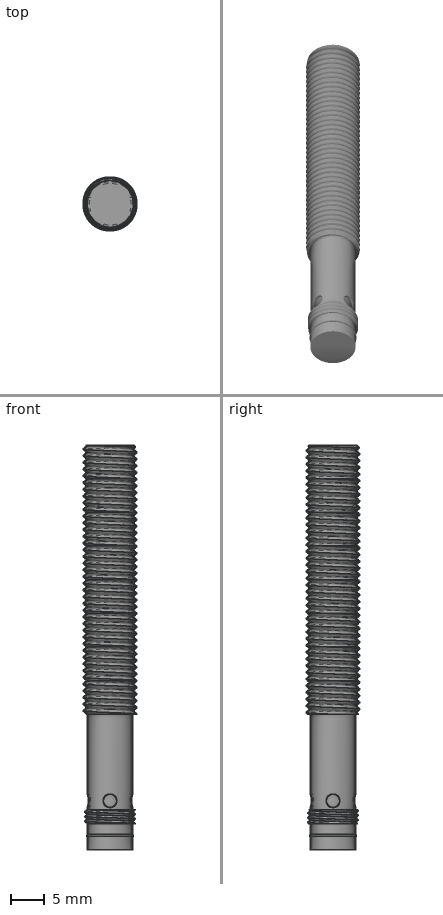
import cadquery as cq
import math

total_length = 60.3
housing_thread_length = 40.1
housing_thread_start = total_length - housing_thread_length

body_diameter = 6.72

housing_major_diameter = 8.0
housing_root_diameter = 6.9
housing_pitch = 1.0
housing_start_angle = 0.0
housing_segment_count = 8
end_face_diameter = 7.0

connector_major_diameter = 7.5
connector_root_diameter = 6.8
connector_pitch = 0.7
connector_thread_start = 3.9
connector_thread_length = 2.1
connector_start_angle = 0.0

flank_curve_points = 12

envelope_clearance = 0.5

snap_ring_diameter = 7.0
snap_ring_bottom = 2.0
snap_ring_top = 2.35

window_diameter = 2.0
window_floor_diameter = 6.2
window_height = 7.3
window_count = 4


def cylinder(diameter, bottom, length):
    return cq.Workplane("XY").workplane(offset=bottom).circle(diameter / 2).extrude(length)


def polar_point(radius, angle):
    return (radius * math.cos(angle), radius * math.sin(angle))


def threaded_rod(major_diameter, root_diameter, pitch, length):
    """Rod with a single-start, left-handed V thread.

    Any level cut through such a rod is the same outline, turned with height: two mirrored spirals
    that meet at one crest point and one root point. Twisting that outline upward gives the thread.
    """
    crest_radius = major_diameter / 2
    root_radius = root_diameter / 2

    def falling_flank(t):
        return polar_point(crest_radius + (root_radius - crest_radius) * t, math.pi * t)

    def rising_flank(t):
        return polar_point(root_radius + (crest_radius - root_radius) * t, math.pi * (1 + t))

    outline = (
        cq.Workplane("XY")
        .moveTo(crest_radius, 0)
        .parametricCurve(falling_flank, N=flank_curve_points, makeWire=False)
        .parametricCurve(rising_flank, N=flank_curve_points, makeWire=False)
        .wire()
    )
    return outline.twistExtrude(length, -360 * length / pitch)


def housing_thread():
    """Equal segments stacked end to end, each turned on to carry the helix, the top one chamfered."""
    segment_length = housing_thread_length / housing_segment_count
    segment_turn = -360 * segment_length / housing_pitch
    segment = threaded_rod(housing_major_diameter, housing_root_diameter, housing_pitch, segment_length)
    chamfer = envelope_clearance + (housing_major_diameter - end_face_diameter) / 2
    envelope = cylinder(housing_major_diameter + 2 * envelope_clearance, 0, segment_length)
    segments = [segment] * (housing_segment_count - 1)
    segments.append(segment.intersect(envelope.faces(">Z").chamfer(chamfer)))
    thread = cq.Workplane("XY")
    for index, piece in enumerate(segments):
        angle = housing_start_angle + index * segment_turn
        piece = piece.rotate((0, 0, 0), (0, 0, 1), angle)
        thread = thread.add(piece.translate((0, 0, housing_thread_start + index * segment_length)))
    return thread


def connector_thread():
    rod = threaded_rod(connector_major_diameter, connector_root_diameter, connector_pitch,
                       connector_thread_length)
    rod = rod.rotate((0, 0, 0), (0, 0, 1), connector_start_angle)
    return rod.translate((0, 0, connector_thread_start))


def snap_ring():
    body_radius = body_diameter / 2
    section = cq.Workplane("XZ").polyline([
        (0, snap_ring_bottom),
        (snap_ring_diameter / 2, snap_ring_bottom),
        (body_radius, snap_ring_top),
        (0, snap_ring_top),
    ]).close()
    return section.revolve(360, (0, 0, 0), (0, 1, 0))


def window_pockets():
    pockets = cq.Workplane("XY")
    for index in range(window_count):
        pocket = cq.Workplane("XZ").center(0, window_height).circle(window_diameter / 2)
        pocket = pocket.extrude(body_diameter)
        pockets = pockets.add(pocket.rotate((0, 0, 0), (0, 0, 1), index * 360 / window_count))
    floor = cylinder(window_floor_diameter, window_height - window_diameter, 2 * window_diameter)
    return pockets.combine().cut(floor)


body = cylinder(body_diameter, 0, housing_thread_start)
body = body.cut(window_pockets())
body = body.union(snap_ring())
body = body.union(connector_thread())
result = body.union(housing_thread())